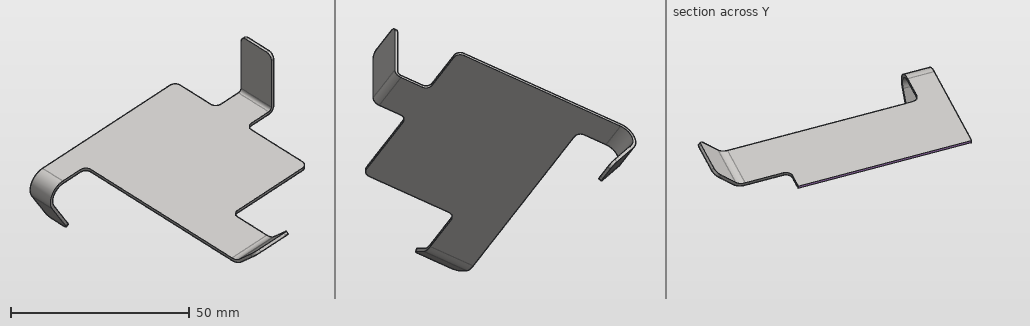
import cadquery as cq
import math

thickness = 1.0
corner_radius = 2.0

overall_length = 74.8
overall_width = 69.1
overall_height = 38.8

plate_length = 52.0
plate_width = 44.0

upright_left = 16.0
upright_width = 12.0
upright_reach = 11.0
upright_height = 21.0
upright_radius = 2.0
upright_angle = 90

arm_width = 14.0
arm_flat_end = 65.4
arm_radius = 5.0
arm_angle = 45

leg_width = 8.0
hook_radius = 5.0
hook_angle = 120

upright_flat_end = plate_width + upright_reach - upright_radius
upright_straight = upright_height - upright_radius

arm_turn = math.radians(arm_angle)
arm_straight = (overall_length - arm_flat_end - arm_radius * math.sin(arm_turn)) / math.cos(arm_turn)

leg_flat_end = plate_width + upright_reach + hook_radius - overall_width
hook_turn = math.radians(hook_angle)
hook_drop = overall_height - upright_height + thickness
hook_straight = (hook_drop - hook_radius * (1 - math.cos(hook_turn))) / math.sin(hook_turn)


def bent_tab(width, outer_radius, angle, straight):
    """Bend starting at the origin along +X and curling up, then a straight flap with a rounded tip.

    The outer face of the bend starts at Z = 0 and the width is centred on Y = 0.
    """
    turn = math.radians(angle)
    inner_radius = outer_radius - thickness

    def on_bend(radius, swept):
        return (radius * math.sin(swept), outer_radius - radius * math.cos(swept))

    def along_flap(point):
        return (point[0] + straight * math.cos(turn), point[1] + straight * math.sin(turn))

    outer_seam = on_bend(outer_radius, turn)
    inner_seam = on_bend(inner_radius, turn)
    outer_tip = along_flap(outer_seam)
    inner_tip = along_flap(inner_seam)
    tab = (
        cq.Workplane("XZ")
        .moveTo(0, 0)
        .threePointArc(on_bend(outer_radius, turn / 2), outer_seam)
        .lineTo(*outer_tip)
        .lineTo(*inner_tip)
        .lineTo(*inner_seam)
        .threePointArc(on_bend(inner_radius, turn / 2), (0, thickness))
        .close()
        .extrude(width / 2, both=True)
    )
    tip_x = (outer_tip[0] + inner_tip[0]) / 2
    tip_z = (outer_tip[1] + inner_tip[1]) / 2
    for side in (-1, 1):
        tip_corner = cq.selectors.NearestToPointSelector((tip_x, side * width / 2, tip_z))
        tab = tab.edges(tip_corner).fillet(corner_radius)
    return tab


upright_right = upright_left + upright_width
flat_sheet = (
    cq.Workplane("XY")
    .polyline([
        (0, leg_flat_end),
        (leg_width, leg_flat_end),
        (leg_width, 0),
        (arm_flat_end, 0),
        (arm_flat_end, arm_width),
        (plate_length, arm_width),
        (plate_length, plate_width),
        (upright_right, plate_width),
        (upright_right, upright_flat_end),
        (upright_left, upright_flat_end),
        (upright_left, plate_width),
        (0, plate_width),
    ])
    .close()
    .extrude(thickness)
)
rounded_corners = [
    (leg_width, 0),
    (plate_length, arm_width),
    (plate_length, plate_width),
    (upright_right, plate_width),
    (upright_left, plate_width),
    (0, plate_width),
]
for x, y in rounded_corners:
    corner = cq.selectors.NearestToPointSelector((x, y, thickness / 2))
    flat_sheet = flat_sheet.edges(corner).fillet(corner_radius)

upright = (
    bent_tab(upright_width, upright_radius, upright_angle, upright_straight)
    .rotate((0, 0, 0), (0, 0, 1), 90)
    .translate((upright_left + upright_width / 2, upright_flat_end, 0))
)
arm_tip = (
    bent_tab(arm_width, arm_radius, arm_angle, arm_straight)
    .translate((arm_flat_end, arm_width / 2, 0))
)
hook = (
    bent_tab(leg_width, hook_radius, hook_angle, hook_straight)
    .rotate((0, 0, 0), (1, 0, 0), 180)
    .rotate((0, 0, 0), (0, 0, 1), -90)
    .translate((leg_width / 2, leg_flat_end, thickness))
)

result = flat_sheet.union(upright).union(arm_tip).union(hook)